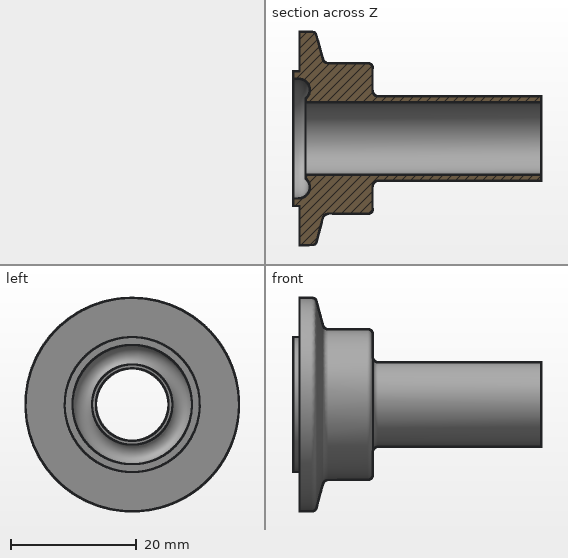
import cadquery as cq
import math

total_length = 39.5
spigot_length = 1.0
rim_width = 2.6
hub_end = 12.7

flange_diameter = 34.0
spigot_diameter = 21.5
hub_diameter = 24.0
tube_diameter = 13.5
wall_thickness = 1.0
bore_diameter = tube_diameter - 2 * wall_thickness

cone_angle = 15.0
outer_round = 0.8

groove_diameter = 19.0
groove_radius = 1.75
groove_wall_depth = 0.9
inner_lip_depth = 2.0

flange_radius = flange_diameter / 2
spigot_radius = spigot_diameter / 2
hub_radius = hub_diameter / 2
tube_radius = tube_diameter / 2
bore_radius = bore_diameter / 2
groove_outer = groove_diameter / 2
groove_center = groove_outer - groove_radius

lip_offset = inner_lip_depth - groove_wall_depth
lip_radius = groove_center - math.sqrt(groove_radius**2 - lip_offset**2)

rim_end = spigot_length + rim_width
cone_end = rim_end + (flange_radius - hub_radius) * math.tan(math.radians(cone_angle))


def turned_body():
    """Revolve the sharp-cornered half section about the X axis."""
    section = (
        cq.Workplane("XZ")
        .moveTo(inner_lip_depth, bore_radius)
        .lineTo(inner_lip_depth, lip_radius)
        .threePointArc(
            (groove_wall_depth + groove_radius, groove_center),
            (groove_wall_depth, groove_outer),
        )
        .lineTo(0, groove_outer)
        .lineTo(0, spigot_radius)
        .lineTo(spigot_length, spigot_radius)
        .lineTo(spigot_length, flange_radius)
        .lineTo(rim_end, flange_radius)
        .lineTo(cone_end, hub_radius)
        .lineTo(hub_end, hub_radius)
        .lineTo(hub_end, tube_radius)
        .lineTo(total_length, tube_radius)
        .lineTo(total_length, bore_radius)
        .close()
    )
    return section.revolve(360, (0, 0, 0), (1, 0, 0))


def round_corner(body, x, radius):
    """Round the circular corner that passes through the point (x, 0, radius)."""
    corner = cq.selectors.NearestToPointSelector((x, 0, 0))
    same_radius = body.edges("%CIRCLE").filter(lambda edge: math.isclose(edge.radius(), radius))
    return same_radius.edges(corner).fillet(outer_round)


result = turned_body()
outer_corners = [
    (rim_end, flange_radius),
    (cone_end, hub_radius),
    (hub_end, hub_radius),
    (hub_end, tube_radius),
]
for corner_x, corner_radius in outer_corners:
    result = round_corner(result, corner_x, corner_radius)